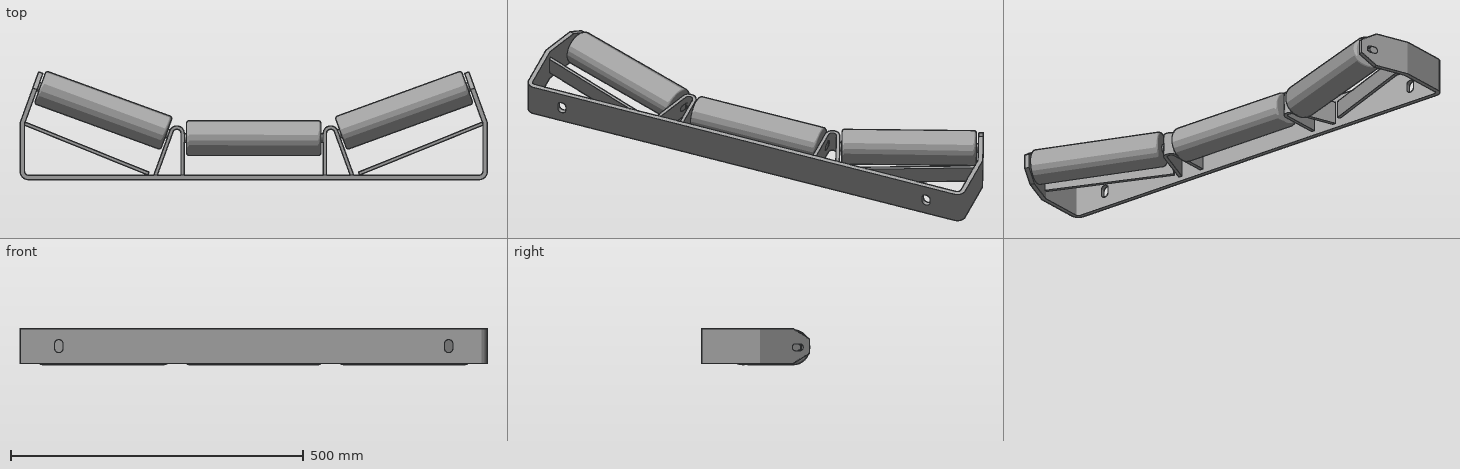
import cadquery as cq
import math

frame_length = 800.0
frame_height = 60.0
frame_thickness = 8.0
bend_radius = 14.0
wing_angle = 20.0
wing_top = 185.0
kink_y = 98.0
tip_width = 25.0
tip_taper = 30.0

base_slot_x = 334.0
base_slot_length = 22.0
base_slot_width = 14.0
axle_along = 69.0
axle_slot_length = 20.0
axle_slot_width = 12.0

roller_diameter = 60.0
roller_z = -2.0
roller_length = 230.0
roller_edge_radius = 5.0
axle_diameter = 15.0
axle_length = 238.0
centre_roller_y = 71.0

hoop_height = 40.0
hoop_thickness = 6.0
hoop_radius = 13.0
brace_thickness = 6.0
brace_height = 30.0
brace_angle = 22.0
brace_rise = 2.0

axle_slot_shift = (axle_slot_length - axle_diameter) / 2

wing_cos = math.cos(math.radians(wing_angle))
wing_sin = math.sin(math.radians(wing_angle))
wing_tan = wing_sin / wing_cos
half_length = frame_length / 2
wing_length = (wing_top - kink_y) / wing_cos
axle_x = -half_length + axle_along * wing_sin
axle_y = kink_y + axle_along * wing_cos


def on_wing(along, inward):
    """XY point at a distance along the left wing from its kink and inward from its outer face."""
    return (
        -half_length + along * wing_sin + inward * wing_cos,
        kink_y + along * wing_cos - inward * wing_sin,
    )


def mirrored(body):
    """Copy of a left-hand body on the right-hand side."""
    return body.mirror("YZ")


def extrude_centred(outline, height):
    """Solid of the given Z height, centred on the XY plane."""
    return outline.extrude(height / 2, both=True)


def wing_plane():
    """Plane on the outer face of the left wing: x runs along the wing, z points inward."""
    return cq.Plane(
        origin=(-half_length, kink_y, 0),
        xDir=(wing_sin, wing_cos, 0),
        normal=(wing_cos, -wing_sin, 0),
    )


def make_frame():
    """Bent strip: base, two walls and two inclined wings."""
    inner_kink = frame_thickness * math.tan(math.radians(wing_angle / 2))
    left_points = [
        on_wing(wing_length, 0),
        (-half_length, kink_y),
        (-half_length, 0),
    ]
    left_inner_points = [
        (-half_length + frame_thickness, frame_thickness),
        (-half_length + frame_thickness, kink_y - inner_kink),
        on_wing(wing_length, frame_thickness),
    ]
    right_points = [(-x, y) for x, y in reversed(left_points)]
    right_inner_points = [(-x, y) for x, y in reversed(left_inner_points)]
    outline = cq.Workplane("XY").polyline(
        left_points + right_points + right_inner_points + left_inner_points
    ).close()
    frame = extrude_centred(outline, frame_height)

    probe = frame_thickness / 10
    for side in (-1, 1):
        wall_outer = side * half_length
        wall_inner = side * (half_length - frame_thickness)
        for x, y, radius in (
            (wall_outer, 0, bend_radius),
            (wall_outer, kink_y, bend_radius),
            (wall_inner, frame_thickness, bend_radius - frame_thickness),
            (wall_inner, kink_y - inner_kink, bend_radius - frame_thickness),
        ):
            corner = cq.selectors.BoxSelector(
                (x - probe, y - probe, -frame_height),
                (x + probe, y + probe, frame_height),
            )
            frame = frame.edges("|Z").edges(corner).fillet(radius)

    base_slots = (
        cq.Workplane("XZ")
        .pushPoints([(-base_slot_x, 0), (base_slot_x, 0)])
        .slot2D(base_slot_length, base_slot_width, 90)
        .extrude(-frame_thickness)
    )
    frame = frame.cut(base_slots)

    taper_start = wing_length - tip_taper
    tip_cuts = cq.Workplane(wing_plane())
    for side in (-1, 1):
        tip_cuts = tip_cuts.polyline([
            (taper_start, side * frame_height / 2),
            (wing_length, side * tip_width / 2),
            (wing_length, side * frame_height / 2),
        ]).close()
    tip_cuts = tip_cuts.extrude(frame_thickness)
    axle_slot = (
        cq.Workplane(wing_plane())
        .center(axle_along + axle_slot_shift, roller_z)
        .slot2D(axle_slot_length, axle_slot_width)
        .extrude(frame_thickness)
    )
    wing_cut = tip_cuts.union(axle_slot)
    return frame.cut(wing_cut).cut(mirrored(wing_cut))


def make_roller(x, y, angle, left_seat, right_seat):
    """Roller centred at (x, y) and turned about Z; its axle tongues fill the given seat thicknesses."""
    drum = (
        cq.Workplane("YZ")
        .circle(roller_diameter / 2)
        .extrude(roller_length)
        .translate((-roller_length / 2, 0, 0))
        .edges()
        .fillet(roller_edge_radius)
    )
    axle = cq.Workplane("YZ").circle(axle_diameter / 2).extrude(axle_length / 2, both=True)
    tongue = (
        cq.Workplane("YZ", origin=(-axle_length / 2 - left_seat, 0, 0))
        .slot2D(axle_diameter, axle_slot_width)
        .extrude(left_seat + axle_length + right_seat)
    )
    roller = drum.union(axle).union(tongue)
    return roller.rotate((0, 0, 0), (0, 0, 1), angle).translate((x, y, roller_z))


def make_left_hoop():
    """Strip bent over the top, with an upright leg and a leg parallel to the wing."""
    inner_radius = hoop_radius - hoop_thickness
    upright_x = -axle_length / 2

    bend_x = upright_x - hoop_radius
    side_face_x, side_face_y = on_wing(0, frame_thickness + axle_length + hoop_radius)
    bend_y = side_face_y + (bend_x - side_face_x) / wing_tan

    def bend_point(radius, degrees):
        turn = math.radians(degrees)
        return (bend_x + radius * math.cos(turn), bend_y + radius * math.sin(turn))

    def slanted_foot(radius):
        x, y = bend_point(radius, 180 - wing_angle)
        return (x - (y - frame_thickness) * wing_tan, frame_thickness)

    outline = (
        cq.Workplane("XY")
        .moveTo(upright_x, frame_thickness)
        .lineTo(*bend_point(hoop_radius, 0))
        .threePointArc(bend_point(hoop_radius, 90), bend_point(hoop_radius, 180 - wing_angle))
        .lineTo(*slanted_foot(hoop_radius))
        .lineTo(*slanted_foot(inner_radius))
        .lineTo(*bend_point(inner_radius, 180 - wing_angle))
        .threePointArc(bend_point(inner_radius, 90), bend_point(inner_radius, 0))
        .lineTo(upright_x - hoop_thickness, frame_thickness)
        .close()
    )
    hoop = extrude_centred(outline, hoop_height).translate((0, 0, roller_z))

    upright_slot = (
        cq.Workplane("YZ", origin=(upright_x, centre_roller_y + axle_slot_shift, roller_z))
        .slot2D(axle_slot_length, axle_slot_width)
        .extrude(-hoop_thickness)
    )
    slanted_slot = (
        cq.Workplane(wing_plane())
        .workplane(offset=frame_thickness + axle_length)
        .center(axle_along + axle_slot_shift, roller_z)
        .slot2D(axle_slot_length, axle_slot_width)
        .extrude(hoop_thickness)
    )
    return hoop.cut(upright_slot).cut(slanted_slot)


def make_left_brace():
    """Flat bar from the wall at its kink down to the base."""
    slope_cos = math.cos(math.radians(brace_angle))
    slope_sin = math.sin(math.radians(brace_angle))
    wall_x = -half_length + frame_thickness
    top_y = kink_y + brace_rise
    low_y = top_y - brace_thickness / slope_cos
    length = (low_y - frame_thickness) / slope_sin
    foot = (wall_x + length * slope_cos, frame_thickness)
    outline = cq.Workplane("XY").polyline([
        (wall_x, top_y),
        (wall_x, low_y),
        foot,
        (foot[0] + brace_thickness * slope_sin, foot[1] + brace_thickness * slope_cos),
    ]).close()
    return extrude_centred(outline, brace_height)


frame = make_frame()

side_reach = frame_thickness + axle_length / 2
side_roller_x = -axle_x - side_reach * wing_cos
side_roller_y = axle_y - side_reach * wing_sin
rollers = [
    make_roller(-side_roller_x, side_roller_y, -wing_angle, frame_thickness, hoop_thickness),
    make_roller(0, centre_roller_y, 0, hoop_thickness, hoop_thickness),
    make_roller(side_roller_x, side_roller_y, wing_angle, hoop_thickness, frame_thickness),
]

left_hoop = make_left_hoop()
hoops = [left_hoop, mirrored(left_hoop)]

left_brace = make_left_brace()
braces = [left_brace, mirrored(left_brace)]

bodies = [frame] + rollers + hoops + braces
result = cq.Compound.makeCompound([body.val() for body in bodies])